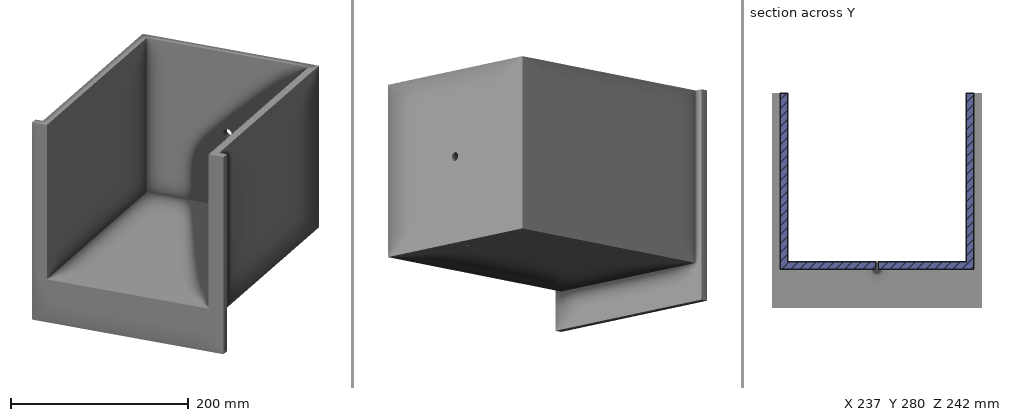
import cadquery as cq

overall_width = 237.0
overall_depth = 280.0
overall_height = 242.0

board = 9.0
inner_width = 200.2
box_height = 198.2
box_width = inner_width + 2 * board
box_bottom = overall_height - box_height
floor_top = box_bottom + board

back_hole_diameter = 10.0
floor_hole_diameter = 2.5
floor_hole_from_back = 19.0


def block(width, depth, height, front, bottom):
    """Box centred across X, starting at the given Y and Z."""
    return (
        cq.Workplane("XY")
        .box(width, depth, height, centered=(True, False, False))
        .translate((0, front, bottom))
    )


body = block(box_width, overall_depth, box_height, 0, box_bottom)
front_board = block(overall_width, board, overall_height, 0, 0)

cavity = block(inner_width, overall_depth - board, box_height - board, 0, floor_top)

back_hole = (
    cq.Workplane("XZ", origin=(0, overall_depth, box_bottom + box_height / 2))
    .circle(back_hole_diameter / 2)
    .extrude(board)
)

floor_hole = (
    cq.Workplane("XY", origin=(0, overall_depth - floor_hole_from_back, box_bottom))
    .circle(floor_hole_diameter / 2)
    .extrude(board)
)

result = body.union(front_board).cut(cavity).cut(back_hole).cut(floor_hole)